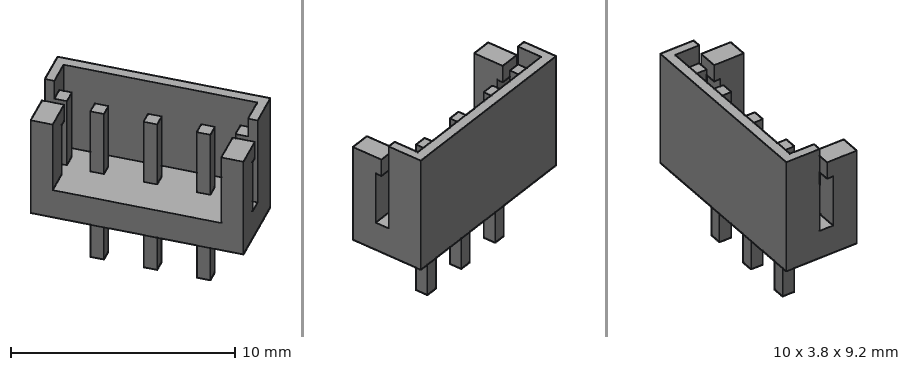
import cadquery as cq

length = 10.0
depth = 3.8
height = 6.0
floor = 1.5
back_wall = 0.5
side_wall = 0.45

back_part_depth = 1.8
rib_depth = 0.7
rib_top = 5.02

post_width = 1.04
post_depth = 1.28
post_top = 5.1
hook_bottom = 4.2
hook_depth = 1.6

pin_count = 3
pin_pitch = 2.5
pin_size = 0.64
pin_top = 4.8
pin_bottom = -3.2
pin_y = 2.2

back_face = depth
slot_back = back_face - back_part_depth


def block(x0, x1, y0, y1, z0, z1):
    """Box between two opposite corners."""
    return cq.Workplane("XY").box(x1 - x0, y1 - y0, z1 - z0, centered=False).translate((x0, y0, z0))


def left_end():
    """Side wall, rib and hooked front post at the -X end."""
    outer = -length / 2
    wall = block(outer, outer + side_wall, slot_back, back_face, 0, height)
    rib = block(outer, outer + post_width, slot_back, slot_back + rib_depth, 0, rib_top)
    post = block(outer, outer + post_width, 0, post_depth, 0, post_top)
    hook = block(outer, outer + post_width, 0, hook_depth, hook_bottom, post_top)
    return wall.union(rib).union(post).union(hook)


def pin(x):
    """Square pin passing through the floor."""
    half = pin_size / 2
    return block(x - half, x + half, pin_y - half, pin_y + half, pin_bottom, pin_top)


base = block(-length / 2, length / 2, 0, depth, 0, floor)
back = block(-length / 2, length / 2, back_face - back_wall, back_face, 0, height)
end = left_end()
result = base.union(back).union(end).union(end.mirror("YZ"))

for index in range(pin_count):
    result = result.union(pin((index - (pin_count - 1) / 2) * pin_pitch))